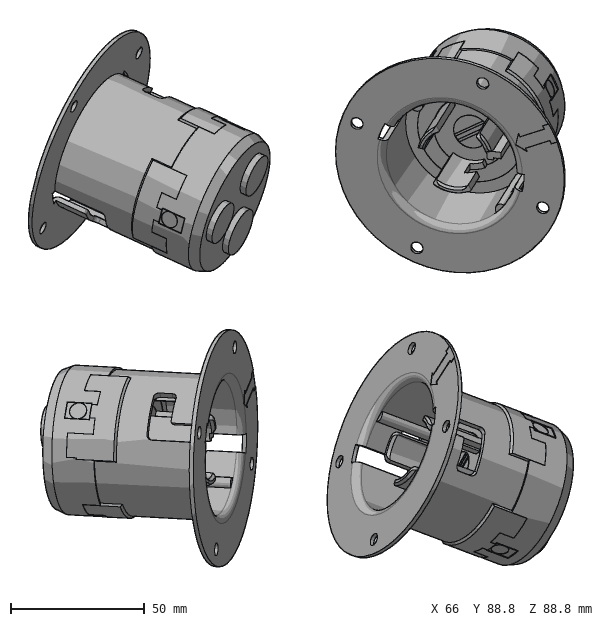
import cadquery as cq
import math


flange_radius = 44.4
flange_thickness = 1.6
screw_hole_diameter = 4.7
screw_hole_circle_radius = 38.25
first_screw_hole_angle = 19.5
screw_hole_count = 4

arrow_angle = 154.6
arrow_depth = 0.2
arrow_tip_radius = 28.3
arrow_head_radius = 31.3
arrow_tail_radius = 41.7
arrow_half_width = 2.5
arrow_head_half_width = 3.9

body_radius = 54.6 / 2
bore_radius = 25.4
lip_fillet = 2.75
floor_x = 29.55

cap_radius = 28.05
cap_start_x = 43.2
taper_start_x = 59.55
cap_end_x = 63.55
taper_end_radius = 26.45
overall_length = 66.0

slot_angles = (179.8, 15.0)
slot_arm_span = 14.4
slot_span = 41.6
slot_leg_start_x = 14.55
slot_end_x = 23.25
slot_outer_radius = 28.8
slot_inner_radius = bore_radius - 0.35
slot_corner_fillet = 1.95
slot_inner_corner_fillet = 0.7

pad_angles = (35.0, 155.0, 275.0)
long_leg_pad_angle = pad_angles[0]
pad_radius = 28.1
pad_start_x = 34.6
pad_chamfer = 0.9
pad_end_x = 50.05
long_leg_end_x = 53.8
pad_half_angle = 37.0
pad_end_slope = 3.5
pad_blank_radius = pad_radius + 0.9
pad_base_radius = body_radius - 0.9
notch_start_x = 43.75
notch_half_angle = 18.2

window_start_x = 46.0
window_end_x = 55.6
window_width = 6.7
tongue_width = 5.5
window_floor_radius = 27.5
window_screw_x = (50.85, 49.7, 49.7)
window_screw_radius = 3.3
window_screw_height = 0.2

blade_inner_radius = 11.9
blade_outer_radius = 14.3
blade_tip_corner = 2.2
blade_tip_bevel_length = 1.3
blade_tip_bevel_height = 0.6
line_blade_span = (9.7, 59.4)
line_blade_tip_x = 5.1
ground_blade_span = (244.0, 305.5)
ground_blade_tip_x = 5.1
hook_blade_span = (130.7, 166.0)
hook_blade_tip_x = 7.3
hook_end_angle = 181.0
lock_notch_start_x = 18.8
lock_notch_end_x = 26.6
lock_notch_span = 24.0
hook_reach = 17.2
hook_top_z = 3.3
hook_thickness = 2.7

ring_radius = 20.8
face_radius = 14.5
hub_radius = 6.79
floor_step = 0.2
hub_slot_width = 3.55
hub_slot_core_width = 1.6
hub_slot_angle = 148.0

post_radius = 2.3
post_circle_radius = 25.7
post_tip_x = 2.9
post_angles = (57.9, 222.0)

rear_bosses = ((-13.3, 6.7, 8.25), (12.2, 6.7, 8.25), (0.0, -14.4, 9.3))


def polar(radius, angle):
    """Point in the YZ plane."""
    return radius * math.cos(math.radians(angle)), radius * math.sin(math.radians(angle))


def cylinder(radius, start_x, end_x, center=(0, 0)):
    return (
        cq.Workplane("YZ", origin=(start_x, 0, 0))
        .center(*center)
        .circle(radius)
        .extrude(end_x - start_x)
    )


def sector(inner_radius, outer_radius, start_angle, end_angle, start_x, end_x, base_flare=0.0):
    """Ring sector along X; base_flare widens the inner arc at both ends, in degrees."""
    middle = (start_angle + end_angle) / 2
    return (
        cq.Workplane("YZ", origin=(start_x, 0, 0))
        .moveTo(*polar(outer_radius, start_angle))
        .threePointArc(polar(outer_radius, middle), polar(outer_radius, end_angle))
        .lineTo(*polar(inner_radius, end_angle + base_flare))
        .threePointArc(polar(inner_radius, middle), polar(inner_radius, start_angle - base_flare))
        .close()
        .extrude(end_x - start_x)
    )


def turned(points):
    """Solid of revolution about X from (x, radius) points."""
    return cq.Workplane("XY").polyline(points).close().revolve(360, (0, 0, 0), (1, 0, 0))


def radial_block(start_x, end_x, width, inner_radius, outer_radius, angle):
    """Flat-sided block standing on the barrel at one angle."""
    return (
        cq.Workplane("XY")
        .box(end_x - start_x, outer_radius - inner_radius, width, centered=(False, False, True))
        .translate((start_x, inner_radius, 0))
        .rotate((0, 0, 0), (1, 0, 0), angle)
    )


def make_shell():
    """Flange, barrel and rear cap with the lipped bore and the flange screw holes."""
    outside = turned([
        (0, 0),
        (0, flange_radius),
        (flange_thickness, flange_radius),
        (flange_thickness, body_radius),
        (cap_start_x, body_radius),
        (cap_start_x, cap_radius),
        (taper_start_x, cap_radius),
        (cap_end_x, taper_end_radius),
        (cap_end_x, 0),
    ])
    lip_mid = lip_fillet * (1 - math.sqrt(0.5))
    bore = (
        cq.Workplane("XY")
        .lineTo(0, bore_radius + lip_fillet)
        .threePointArc((lip_mid, bore_radius + lip_mid), (lip_fillet, bore_radius))
        .lineTo(floor_x, bore_radius)
        .lineTo(floor_x, 0)
        .close()
        .revolve(360, (0, 0, 0), (1, 0, 0))
    )
    shell = outside.cut(bore)
    for index in range(screw_hole_count):
        angle = first_screw_hole_angle + index * 360 / screw_hole_count
        center = polar(screw_hole_circle_radius, angle)
        shell = shell.cut(cylinder(screw_hole_diameter / 2, 0, flange_thickness, center))
    return shell


def make_arrow():
    """Arrow-shaped recess running in from the flange rim."""
    half_outline = [
        (arrow_head_radius, arrow_head_half_width),
        (arrow_head_radius, arrow_half_width),
        (arrow_tail_radius, arrow_half_width),
        (arrow_tail_radius, arrow_head_half_width),
        (flange_radius + 0.9, arrow_head_half_width),
    ]
    other_half = [(radius, -offset) for radius, offset in reversed(half_outline)]
    return (
        cq.Workplane("YZ")
        .polyline([(arrow_tip_radius, 0)] + half_outline + other_half)
        .close()
        .extrude(arrow_depth)
        .rotate((0, 0, 0), (1, 0, 0), arrow_angle)
    )


def make_slot(start_angle):
    """L-shaped bayonet slot: an arm from the flange and a leg turning around the wall."""
    leg = sector(slot_inner_radius, slot_outer_radius, start_angle, start_angle + slot_span,
                 slot_leg_start_x, slot_end_x)
    leg = leg.edges("#X").edges("%LINE").fillet(slot_corner_fillet)
    arm = sector(slot_inner_radius, slot_outer_radius, start_angle, start_angle + slot_arm_span,
                 0, slot_leg_start_x + 2 * slot_corner_fillet)
    slot = leg.union(arm)
    corner = (slot_leg_start_x, *polar(body_radius, start_angle + slot_arm_span))
    inner_corner = cq.selectors.NearestToPointSelector(corner)
    return slot.edges("%LINE").edges(inner_corner).fillet(slot_inner_corner_fillet)


def make_pad(angle):
    """Raised clip pad with a chamfered front, sloped ends, a notch and a centre tongue."""
    notch_low = angle - notch_half_angle
    notch_high = angle + notch_half_angle
    low_end = angle - pad_half_angle
    high_end = angle + pad_half_angle
    pad = sector(pad_base_radius, pad_blank_radius, low_end, high_end, pad_start_x, pad_end_x, pad_end_slope)
    if angle == long_leg_pad_angle:
        long_leg = sector(pad_base_radius, pad_blank_radius, low_end, notch_low, notch_start_x, long_leg_end_x)
        pad = pad.union(long_leg)
    notch = sector(pad_base_radius - 0.9, pad_blank_radius + 0.9, notch_low, notch_high,
                   notch_start_x, long_leg_end_x)
    tongue = radial_block(notch_start_x - 0.9, window_start_x, tongue_width,
                          pad_base_radius, pad_blank_radius, angle)
    pad = pad.cut(notch).union(tongue)
    envelope = turned([
        (pad_start_x, 0),
        (pad_start_x, pad_radius - pad_chamfer),
        (pad_start_x + pad_chamfer, pad_radius),
        (long_leg_end_x, pad_radius),
        (long_leg_end_x, 0),
    ])
    return pad.intersect(envelope)


def make_window(angle, screw_x):
    """Flat-bottomed recess with a low round screw head standing on its floor."""
    window = radial_block(window_start_x, window_end_x, window_width,
                          window_floor_radius, cap_radius + 0.9, angle)
    screw = (
        cq.Workplane("XZ", origin=(screw_x, window_floor_radius, 0))
        .circle(window_screw_radius)
        .extrude(-window_screw_height)
        .rotate((0, 0, 0), (1, 0, 0), angle)
    )
    return window.cut(screw)


def make_blade(span, tip_x):
    """Curved contact blade with rounded tip corners and both curved faces bevelled at the tip."""
    blade = sector(blade_inner_radius, blade_outer_radius, *span, tip_x, floor_x + 0.9)
    blade = blade.faces("<X").edges("%CIRCLE").chamfer(blade_tip_bevel_length, blade_tip_bevel_height)
    return blade.faces("<X").edges("%LINE").fillet(blade_tip_corner)


def make_ground_blade():
    """Widest blade, with a locking notch in one side."""
    side_angle = ground_blade_span[0]
    notch = sector(blade_inner_radius - 0.9, blade_outer_radius + 0.9, side_angle - 1, side_angle + lock_notch_span,
                   lock_notch_start_x, lock_notch_end_x)
    return make_blade(ground_blade_span, ground_blade_tip_x).cut(notch)


def make_hook_blade():
    """Narrow blade continued by a square-ended foot that hooks outwards."""
    root_x = floor_x + 0.9
    foot_x = hook_blade_tip_x + blade_tip_corner
    foot = sector(blade_inner_radius, blade_outer_radius, hook_blade_span[1] - 1, hook_end_angle,
                  foot_x, root_x)
    hook_inner_y = (blade_inner_radius + blade_outer_radius) / 2
    hook = (
        cq.Workplane("XY")
        .box(root_x - foot_x, hook_reach - hook_inner_y, hook_thickness, centered=False)
        .translate((foot_x, -hook_reach, hook_top_z - hook_thickness))
    )
    return make_blade(hook_blade_span, hook_blade_tip_x).union(foot).union(hook)


def add_floor_details(part):
    """Stepped rings and the slotted hub."""
    part = part.cut(cylinder(ring_radius, floor_x, floor_x + floor_step))
    part = part.union(cylinder(face_radius, floor_x, floor_x + floor_step))
    part = part.cut(cylinder(hub_radius, floor_x, floor_x + floor_step))
    for width, depth in ((hub_slot_width, 2 * floor_step), (hub_slot_core_width, 3 * floor_step)):
        bar = (
            cq.Workplane("YZ", origin=(floor_x, 0, 0))
            .transformed(rotate=(0, 0, hub_slot_angle))
            .rect(2 * hub_radius, width)
            .extrude(depth)
        )
        part = part.cut(bar.intersect(cylinder(hub_radius, floor_x, floor_x + depth)))
    return part


def make_post(angle):
    """Post running from the floor to the lip, merged into the bore wall."""
    post = cylinder(post_radius, post_tip_x, floor_x + 0.9, polar(post_circle_radius, angle))
    return post.intersect(cylinder((bore_radius + body_radius) / 2, 0, floor_x + 0.9))


result = add_floor_details(make_shell()).cut(make_arrow())
for pad_angle in pad_angles:
    result = result.union(make_pad(pad_angle))
for pad_angle, screw_position in zip(pad_angles, window_screw_x):
    result = result.cut(make_window(pad_angle, screw_position))
for post_angle in post_angles:
    result = result.union(make_post(post_angle))
for slot_angle in slot_angles:
    result = result.cut(make_slot(slot_angle))
result = result.union(make_blade(line_blade_span, line_blade_tip_x))
result = result.union(make_ground_blade()).union(make_hook_blade())
for boss_y, boss_z, boss_radius in rear_bosses:
    result = result.union(cylinder(boss_radius, cap_end_x, overall_length, (boss_y, boss_z)))